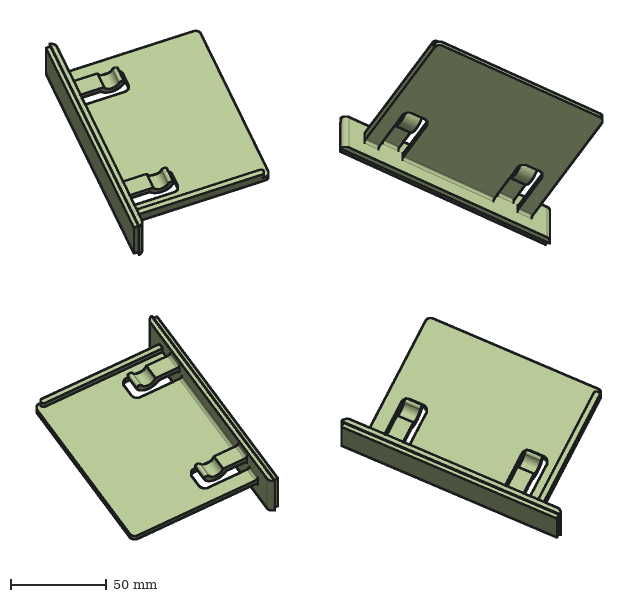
import cadquery as cq
import math

flange_length = 127.0
flange_height = 25.4
face_depth = 2.5
flange_depth = 2.9
face_inset = 1.0
end_round_length = 3.4
end_round_depth = 2.8
flange_back = face_depth + flange_depth

plate_width = 101.6
plate_end = 81.7
plate_thickness = 3.0
plate_corner_radius = 3.0
plate_top = plate_thickness / 2
root_radius = 1.5

rib_width = 3.3
rib_height = 3.2
rib_corner_radius = 1.5
rib_end = plate_end - plate_corner_radius

clip_spacing = 69.8
clip_width = 9.5
clip_thickness = 3.2
slot_width = 14.5
slot_end = 34.2
slot_corner_radius = 3.5
clip_positions = (-clip_spacing / 2, clip_spacing / 2)

arm_bottom = plate_top + rib_height
arm_top = arm_bottom + clip_thickness
cradle_y = 24.4
cradle_inner_radius = 4.6
cradle_outer_radius = cradle_inner_radius + clip_thickness
cradle_z = arm_bottom + cradle_inner_radius
tip_angle = -26.0


def cradle_point(radius, angle):
    """Point (y, z) on a circle about the cradle axis, angle in degrees from +Y."""
    turn = math.radians(angle)
    return cradle_y + radius * math.cos(turn), cradle_z + radius * math.sin(turn)


def cradle_crossing(radius, height):
    """Y where a cradle circle meets the given height, on the flange side."""
    return cradle_y - math.sqrt(radius**2 - (cradle_z - height) ** 2)


def make_front_panel():
    half_length = flange_length / 2
    round_radius = (end_round_length**2 + end_round_depth**2) / (2 * end_round_depth)
    shoulder_y = flange_back - end_round_depth
    flange = (
        cq.Workplane("XY", origin=(0, 0, -flange_height / 2))
        .moveTo(-half_length, face_depth)
        .lineTo(half_length, face_depth)
        .lineTo(half_length, shoulder_y)
        .radiusArc((half_length - end_round_length, flange_back), -round_radius)
        .lineTo(end_round_length - half_length, flange_back)
        .radiusArc((-half_length, shoulder_y), -round_radius)
        .close()
        .extrude(flange_height)
    )
    face = cq.Workplane("XY").box(
        flange_length - 2 * face_inset,
        face_depth,
        flange_height - 2 * face_inset,
        centered=(True, False, True),
    )
    return flange.union(face)


def make_root_fillet(x_start, x_end, surface_z, side):
    """Concave fillet between the flange back and a surface; side is +1 above, -1 below."""
    edge_z = surface_z + side * root_radius
    return (
        cq.Workplane("YZ", origin=(x_start, 0, 0))
        .moveTo(flange_back, surface_z)
        .lineTo(flange_back + root_radius, surface_z)
        .radiusArc((flange_back, edge_z), side * root_radius)
        .close()
        .extrude(x_end - x_start)
    )


def make_plate():
    plate = (
        cq.Workplane("XY")
        .box(plate_width, plate_end - flange_back, plate_thickness, centered=(True, False, True))
        .translate((0, flange_back, 0))
        .edges("|Z and >Y")
        .fillet(plate_corner_radius)
    )
    for x in clip_positions:
        slot = (
            cq.Workplane("XY")
            .box(slot_width, slot_end - flange_back, plate_thickness, centered=(True, False, True))
            .translate((x, flange_back, 0))
            .edges("|Z and >Y")
            .fillet(slot_corner_radius)
        )
        plate = plate.cut(slot)

    left_slot, right_slot = clip_positions
    left_stretch = (-plate_width / 2, left_slot - slot_width / 2)
    middle_stretch = (left_slot + slot_width / 2, right_slot - slot_width / 2)
    right_stretch = (right_slot + slot_width / 2, plate_width / 2)
    for start, end in (left_stretch, middle_stretch):
        plate = plate.union(make_root_fillet(start, end, plate_top, 1))
    for start, end in (left_stretch, middle_stretch, right_stretch):
        plate = plate.union(make_root_fillet(start, end, -plate_top, -1))
    return plate


def make_rib():
    return (
        cq.Workplane("XY")
        .box(rib_width, rib_end - flange_back, rib_height, centered=False)
        .translate((plate_width / 2 - rib_width, flange_back, plate_top))
        .edges("|Z and >Y")
        .fillet(rib_corner_radius)
    )


def make_clip(x):
    inner_tip = cradle_point(cradle_inner_radius, tip_angle)
    outer_tip = cradle_point(cradle_outer_radius, tip_angle)
    cap_radius = clip_thickness / 2
    x_start = x - clip_width / 2
    mid_y, mid_z = cradle_point(cradle_inner_radius + cap_radius, tip_angle)
    turn = math.radians(tip_angle)
    cap_crest = (mid_y - cap_radius * math.sin(turn), mid_z + cap_radius * math.cos(turn))
    clip = (
        cq.Workplane("YZ", origin=(x_start, 0, 0))
        .moveTo(flange_back, arm_bottom)
        .lineTo(cradle_crossing(cradle_outer_radius, arm_bottom), arm_bottom)
        .threePointArc(cradle_point(cradle_outer_radius, -90), outer_tip)
        .threePointArc(cap_crest, inner_tip)
        .threePointArc(
            cradle_point(cradle_inner_radius, -90),
            (cradle_crossing(cradle_inner_radius, arm_top), arm_top),
        )
        .lineTo(flange_back, arm_top)
        .close()
        .extrude(clip_width)
    )
    x_end = x_start + clip_width
    clip = clip.union(make_root_fillet(x_start, x_end, arm_top, 1))
    return clip.union(make_root_fillet(x_start, x_end, arm_bottom, -1))


result = make_front_panel().union(make_plate()).union(make_rib())
for clip_x in clip_positions:
    result = result.union(make_clip(clip_x))